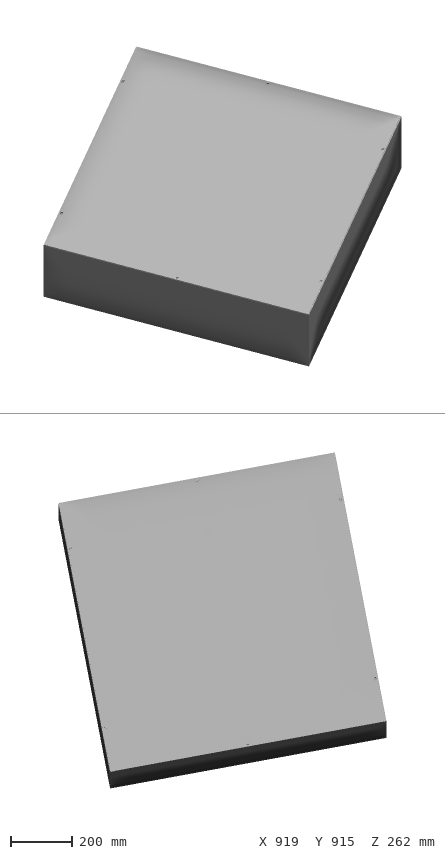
import cadquery as cq

LENGTH_X = 919.0
LENGTH_Y = 915.0
TOTAL_HEIGHT = 262.0
SHEET = 2.3
LIP_WIDTH = 16.0
BEND_RADIUS = 3.0
WALL_SETBACK = 0.5

HEAD_DIAMETER = 7.9
HEAD_HEIGHT = 5.0
SHANK_DIAMETER = 4.3
SHANK_LENGTH = 11.0

SLOT_WIDTH = 4.9
KEYHOLE_DIAMETER = 9.0
KEYHOLE_OFFSET = 8.0

SIDE_SCREW_INSET = 10.0
SIDE_SCREW_Y = 304.0
END_SCREW_INSET = 9.0

COVER_LENGTH = LENGTH_X - 2 * SHEET
COVER_TOP = TOTAL_HEIGHT - HEAD_HEIGHT
BOX_TOP = COVER_TOP - SHEET
SIDE_SCREW_X = LENGTH_X / 2 - SIDE_SCREW_INSET
END_SCREW_Y = LENGTH_Y / 2 - END_SCREW_INSET
SIDE_SCREWS = [(sx * SIDE_SCREW_X, sy * SIDE_SCREW_Y) for sx in (-1, 1) for sy in (-1, 1)]
END_SCREWS = [(0, -END_SCREW_Y), (0, END_SCREW_Y)]
SCREW_PLACES = SIDE_SCREWS + END_SCREWS


def block(x_range, y_range, z_range):
    """Box between the given limits along each axis."""
    sizes = [high - low for low, high in (x_range, y_range, z_range)]
    corner = (x_range[0], y_range[0], z_range[0])
    return cq.Workplane("XY").box(*sizes, centered=False).translate(corner)


def shank_holes(places):
    """Cylinders that clear the screw shanks through the lips."""
    bottom = COVER_TOP - SHANK_LENGTH
    return (
        cq.Workplane("XY", origin=(0, 0, bottom))
        .pushPoints(places)
        .circle(SHANK_DIAMETER / 2)
        .extrude(SHANK_LENGTH)
    )


def make_body():
    """Floor with a side wall along each X edge, and a lip folded inward along each wall top."""
    half_x = LENGTH_X / 2
    inner_x = half_x - SHEET
    lip_x = half_x - LIP_WIDTH
    wall_end = LENGTH_Y / 2 - WALL_SETBACK
    floor = block((-half_x, half_x), (-LENGTH_Y / 2, LENGTH_Y / 2), (0, SHEET))
    wall_profile = [
        (inner_x, 0), (half_x, 0), (half_x, BOX_TOP), (lip_x, BOX_TOP),
        (lip_x, BOX_TOP - SHEET), (inner_x, BOX_TOP - SHEET),
    ]
    wall = cq.Workplane("XZ").polyline(wall_profile).close().extrude(wall_end, both=True)
    return floor.union(wall).union(wall.mirror("YZ")).cut(shank_holes(SIDE_SCREWS))


def make_end_panel(side):
    """End wall with a bent top lip and a flange inside each side wall; side is -1 or 1 along Y."""
    inner_x = LENGTH_X / 2 - SHEET
    lip_x = LENGTH_X / 2 - LIP_WIDTH
    outer_y = LENGTH_Y / 2
    inner_y = outer_y - SHEET
    flange_y = outer_y - LIP_WIDTH
    lip_bottom = BOX_TOP - SHEET
    panel = block((-inner_x, inner_x), (inner_y, outer_y), (SHEET, lip_bottom))
    for x_range in ((-inner_x, -inner_x + SHEET), (inner_x - SHEET, inner_x)):
        panel = panel.union(block(x_range, (flange_y, outer_y), (SHEET, lip_bottom)))
    lip_profile = [
        (flange_y, lip_bottom), (inner_y, lip_bottom), (inner_y, lip_bottom - SHEET),
        (outer_y, lip_bottom - SHEET), (outer_y, BOX_TOP), (flange_y, BOX_TOP),
    ]
    lip = cq.Workplane("YZ").polyline(lip_profile).close().extrude(lip_x, both=True)
    panel = panel.union(lip).faces(">Y").edges(">Z").fillet(BEND_RADIUS)
    if side < 0:
        panel = panel.mirror("XZ")
    return panel.cut(shank_holes(END_SCREWS))


def make_cover():
    """Flat square cover with keyholes at the side screws and round holes at the end screws."""
    half = COVER_LENGTH / 2
    cover = block((-half, half), (-half, half), (BOX_TOP, COVER_TOP))
    cutting = cq.Workplane("XY", origin=(0, 0, BOX_TOP))
    round_holes = cutting.pushPoints(SCREW_PLACES).circle(SLOT_WIDTH / 2).extrude(SHEET)
    wide_places = [(x, y - KEYHOLE_OFFSET) for x, y in SIDE_SCREWS]
    wide_ends = cutting.pushPoints(wide_places).circle(KEYHOLE_DIAMETER / 2).extrude(SHEET)
    slot_places = [(x, y - KEYHOLE_OFFSET / 2) for x, y in SIDE_SCREWS]
    slots = cutting.pushPoints(slot_places).rect(SLOT_WIDTH, KEYHOLE_OFFSET).extrude(SHEET)
    return cover.cut(round_holes).cut(wide_ends).cut(slots)


def make_screw(place):
    """Round-headed screw whose head rests on the cover."""
    x, y = place
    head = cq.Workplane("XY", origin=(x, y, COVER_TOP)).circle(HEAD_DIAMETER / 2).extrude(HEAD_HEIGHT)
    return head.faces("<Z").workplane().circle(SHANK_DIAMETER / 2).extrude(SHANK_LENGTH)


body = make_body()
end_panels = [make_end_panel(side) for side in (-1, 1)]
cover = make_cover()
screws = [make_screw(place) for place in SCREW_PLACES]

result = cq.Compound.makeCompound(
    [body.val(), cover.val()]
    + [panel.val() for panel in end_panels]
    + [screw.val() for screw in screws]
)